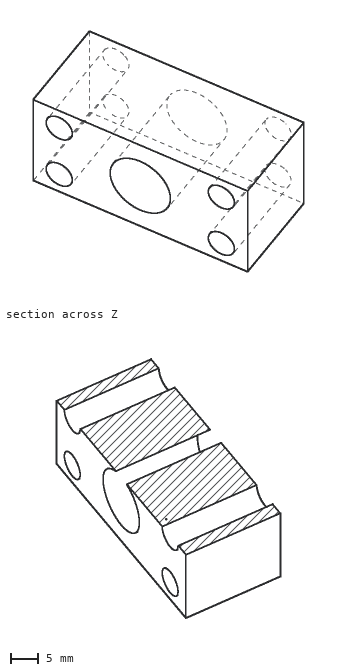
import cadquery as cq

length = 45.0
depth = 20.0
height = 21.0

bore_diameter = 12.65
bolt_hole_diameter = 5.5
bolt_spacing_x = 34.0
bolt_spacing_z = 12.0

block = cq.Workplane("XY").box(length, depth, height)

bored_block = block.faces("<Y").workplane(centerOption="CenterOfBoundBox").hole(bore_diameter)

result = (
    bored_block.faces("<Y")
    .workplane(centerOption="CenterOfBoundBox")
    .rarray(bolt_spacing_x, bolt_spacing_z, 2, 2)
    .hole(bolt_hole_diameter)
)